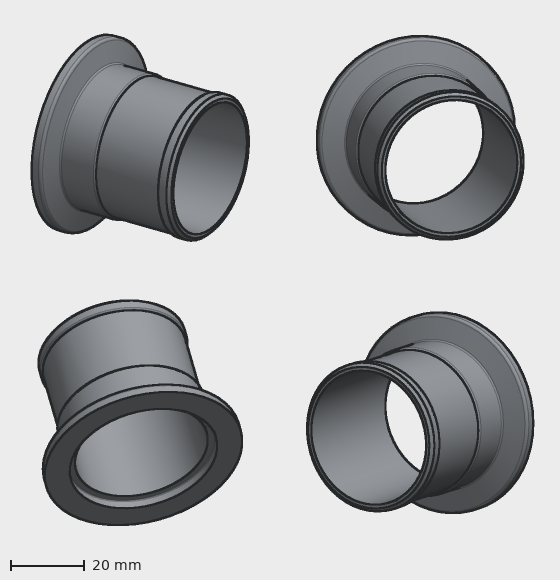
import cadquery as cq
import math

flange_radius = 27.5
rim_round = 0.95
rim_width = 2.25
back_angle = math.radians(15)

length = 40.0
collar_radius = 20.5
hose_radius = 19.95
hose_start = 16.0
bead_start = 36.0
end_chamfer = 1.0
neck_fillet = 0.5
step_round = collar_radius - hose_radius

bore_radius = 18.5
recess_radius = 20.5
recess_depth = 2.6
recess_fillet = 0.2


def arc_point(center, radius, angle):
    """Point (x, r) on an arc, with the angle measured from the outward radial direction toward +X."""
    return (center[0] + radius * math.sin(angle), center[1] + radius * math.cos(angle))


back_normal = math.pi / 2 - back_angle
rim_center = (rim_width, flange_radius - rim_round)
neck_center_r = collar_radius + neck_fillet
neck_center_x = (
    rim_center[0]
    + (rim_center[1] - neck_center_r) * math.tan(back_angle)
    + (rim_round + neck_fillet) / math.cos(back_angle)
)
neck_center = (neck_center_x, neck_center_r)

collar_edge_center = (hose_start - step_round, hose_radius)
bead_edge_center = (bead_start + step_round, hose_radius)
eighth_turn = math.pi / 4

outline = (
    cq.Workplane("XY")
    .moveTo(0, 0)
    .lineTo(0, flange_radius)
    .lineTo(rim_width, flange_radius)
    .threePointArc(
        arc_point(rim_center, rim_round, back_normal / 2),
        arc_point(rim_center, rim_round, back_normal),
    )
    .lineTo(*arc_point(neck_center, neck_fillet, back_normal + math.pi))
    .threePointArc(
        arc_point(neck_center, neck_fillet, back_normal / 2 + math.pi),
        (neck_center_x, collar_radius),
    )
    .lineTo(hose_start - step_round, collar_radius)
    .threePointArc(
        arc_point(collar_edge_center, step_round, eighth_turn),
        (hose_start, hose_radius),
    )
    .lineTo(bead_start, hose_radius)
    .threePointArc(
        arc_point(bead_edge_center, step_round, -eighth_turn),
        (bead_start + step_round, collar_radius),
    )
    .lineTo(length - end_chamfer, collar_radius)
    .lineTo(length, collar_radius - end_chamfer)
    .lineTo(length, 0)
    .close()
)
body = outline.revolve(360, (0, 0, 0), (1, 0, 0))

bore = cq.Workplane("YZ").circle(bore_radius).extrude(length)
recess = cq.Workplane("YZ").circle(recess_radius).extrude(recess_depth)
recess = recess.faces(">X").edges().fillet(recess_fillet)

result = body.cut(bore).cut(recess)